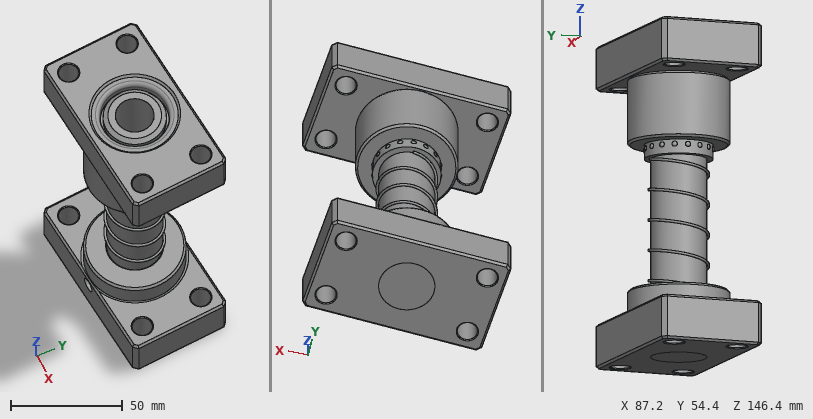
import cadquery as cq
import math

total_height = 146.4
plate_length = 83.9
plate_width = 48.0
plate_thickness = 20.0
plate_turn = 4.7
corner_chamfer = 2.0
edge_chamfer = 1.0
bolt_spacing_long = 66.2
bolt_spacing_short = 30.2
bolt_hole_radius = 4.5
bolt_hole_chamfer = 0.5

post_radius = 12.6
post_top_drop = 1.6
head_radius = 14.2
head_flat_radius = 12.0
head_cone_height = 1.5
head_height = 4.4
post_bore_radius = 8.6
post_bore_depth = 29.3
tapped_hole_radius = 4.1
tapped_hole_chamfer = 0.9
tapped_hole_depth = 17.5
drill_point_angle = 118.0

ball_radius = 1.5
ball_reach = 16.0
ball_count = 16
ball_start_angle = -1.0
ball_drop = 2.0
cage_radius = 15.4
cage_drop = 6.3

bush_radius = 23.0
bush_neck_radius = 19.5
bush_bore_radius = 15.5
bush_drop = 30.0
bush_mouth_fillet = 2.0
bush_end_chamfer = 1.0
bush_shoulder_chamfer = 1.0

collar_radius = bush_radius
collar_rise = 10.0
collar_chamfer = 1.0
collar_bore_chamfer = 0.5
collar_seat_depth = 0.6
collar_seat_flare = 1.2

screw_hole_radius = 3.4
screw_hole_drop = 5.0

wire_radius = 0.6
spring_clearance = 0.07
spring_turns = 4.25
spring_start_angle = 180.0

upper_plate_bottom = total_height - plate_thickness
bush_top = total_height - edge_chamfer
bush_bottom = upper_plate_bottom - bush_drop
post_top = total_height - post_top_drop
cage_top = post_top - head_height
cage_bottom = bush_bottom - cage_drop
collar_bottom = plate_thickness - collar_seat_depth
collar_top = plate_thickness + collar_rise


def cylinder(radius, bottom, top):
    return cq.Workplane("XY").workplane(offset=bottom).circle(radius).extrude(top - bottom)


def cone(bottom_radius, top_radius, bottom, top):
    height = top - bottom
    return cq.Workplane(cq.Solid.makeCone(bottom_radius, top_radius, height, pnt=cq.Vector(0, 0, bottom)))


def plate_blank():
    """Chamfered block with four bolt holes, its bottom at Z = 0 and not yet turned."""
    block = cq.Workplane("XY").box(plate_length, plate_width, plate_thickness, centered=(True, True, False))
    block = block.edges("|Z").chamfer(corner_chamfer)
    block = block.faces("<Z or >Z").edges().chamfer(edge_chamfer)
    holes = (
        cq.Workplane("XY")
        .rect(bolt_spacing_long, bolt_spacing_short, forConstruction=True)
        .vertices()
        .circle(bolt_hole_radius)
        .extrude(plate_thickness)
    )
    block = block.cut(holes)
    rims = block.edges(cq.selectors.RadiusNthSelector(0))
    return rims.chamfer(bolt_hole_chamfer)


def turned(body):
    return body.rotate((0, 0, 0), (0, 0, 1), plate_turn)


def make_upper_plate():
    plate = turned(plate_blank()).translate((0, 0, upper_plate_bottom))
    mouth_radius = bush_neck_radius + edge_chamfer
    plate = plate.cut(cylinder(bush_neck_radius, upper_plate_bottom, total_height))
    return plate.cut(cone(bush_neck_radius, mouth_radius, bush_top, total_height))


def make_lower_plate():
    plate = plate_blank()
    screw_hole = (
        cq.Workplane("XZ")
        .center(0, plate_thickness - screw_hole_drop)
        .circle(screw_hole_radius)
        .extrude(plate_width)
    )
    plate = turned(plate.cut(screw_hole))
    plate = plate.cut(cylinder(post_radius, 0, plate_thickness))
    seat_mouth_radius = collar_radius + collar_seat_flare
    return plate.cut(cone(collar_radius, seat_mouth_radius, collar_bottom, plate_thickness))


def make_bush():
    body = cylinder(bush_radius, bush_bottom, upper_plate_bottom)
    body = body.faces("<Z").edges().chamfer(bush_end_chamfer)
    body = body.faces(">Z").edges().chamfer(bush_shoulder_chamfer)
    body = body.union(cylinder(bush_neck_radius, upper_plate_bottom, bush_top))
    body = body.cut(cylinder(bush_bore_radius, bush_bottom, bush_top))
    return body.faces(">Z").edges(cq.selectors.RadiusNthSelector(0)).fillet(bush_mouth_fillet)


def make_post():
    """Post with a conical head, bored from the top down to a tapped hole with a drill point."""
    cone_bottom = post_top - head_cone_height
    bore_floor = post_top - post_bore_depth
    drill_end = bore_floor - tapped_hole_depth
    point_height = tapped_hole_radius / math.tan(math.radians(drill_point_angle / 2))
    half_profile = [
        (0, 0),
        (post_radius, 0),
        (post_radius, cage_top),
        (head_radius, cage_top),
        (head_radius, cone_bottom),
        (head_flat_radius, post_top),
        (post_bore_radius, post_top),
        (post_bore_radius, bore_floor),
        (tapped_hole_radius + tapped_hole_chamfer, bore_floor),
        (tapped_hole_radius, bore_floor - tapped_hole_chamfer),
        (tapped_hole_radius, drill_end),
        (0, drill_end - point_height),
    ]
    return cq.Workplane("XZ").polyline(half_profile).close().revolve(360, (0, 0), (0, 1))


def make_cage():
    """Sleeve around the post with a ring of balls standing out of it."""
    cage = cylinder(cage_radius, cage_bottom, cage_top)
    ball_centre_radius = ball_reach - ball_radius
    balls = (
        cq.Workplane("XY")
        .workplane(offset=bush_bottom - ball_drop)
        .polarArray(ball_centre_radius, ball_start_angle, 360, ball_count)
        .sphere(ball_radius)
    )
    return cage.union(balls).cut(cylinder(post_radius, cage_bottom, cage_top))


def make_collar():
    collar = cylinder(collar_radius, collar_bottom, collar_top)
    collar = collar.faces(">Z").edges().chamfer(collar_chamfer)
    collar = collar.cut(cylinder(post_radius, collar_bottom, collar_top))
    bore_rim = collar.faces(">Z").edges(cq.selectors.RadiusNthSelector(0))
    return bore_rim.chamfer(collar_bore_chamfer)


def make_spring():
    """Left-handed coil between the collar and the ball cage."""
    coil_radius = post_radius + spring_clearance + wire_radius
    end_gap = wire_radius + spring_clearance
    start = collar_top + end_gap
    height = cage_bottom - end_gap - start
    pitch = height / spring_turns
    path = cq.Wire.makeHelix(pitch, height, coil_radius, lefthand=True)
    coil = cq.Workplane("XZ").center(coil_radius, 0).circle(wire_radius).sweep(path, isFrenet=True)
    return coil.rotate((0, 0, 0), (0, 0, 1), spring_start_angle).translate((0, 0, start))


upper_plate = make_upper_plate()
lower_plate = make_lower_plate()
bush = make_bush()
post = make_post()
cage = make_cage()
collar = make_collar()
spring = make_spring()

bodies = [upper_plate, lower_plate, bush, post, cage, collar, spring]
result = cq.Compound.makeCompound([body.solids().val() for body in bodies])